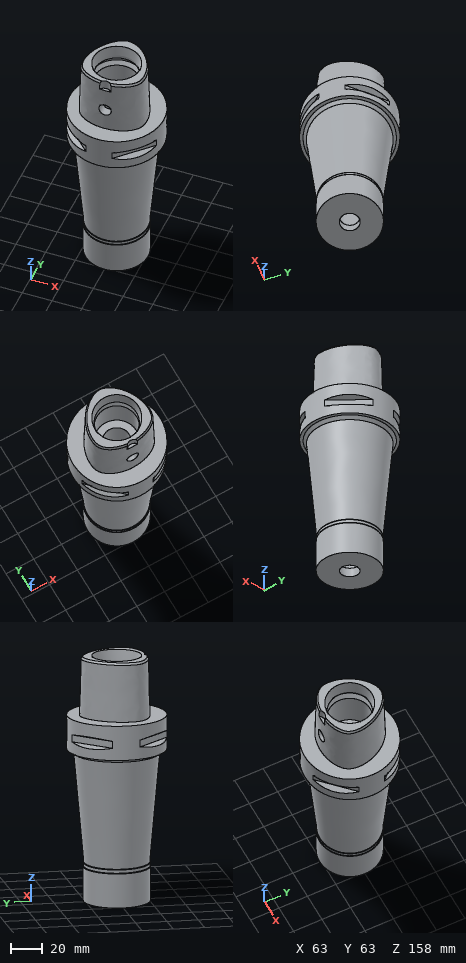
import cadquery as cq
import math

TOTAL_HEIGHT = 158.0
FLANGE_TOP = 120.1
FLANGE_BOTTOM = 98.0
NECK_TOP = 95.7
BODY_BOTTOM = 25.1
NUT_GAP = 0.5
NUT_TOP = BODY_BOTTOM - NUT_GAP

SHANK_BASE_RADIUS = 22.1
TAPER_PER_RADIUS = 1 / 40
LOBE_ECCENTRICITY = 1.5
LOBE_CURVE_POINTS = 48
TOP_CHAMFER_HEIGHT = 1.5
TOP_CHAMFER_WIDTH = 1.0

FLANGE_DIAMETER = 63.0
FLANGE_RADIUS = FLANGE_DIAMETER / 2
RELIEF_RADIUS = 29.2
NECK_TOP_RADIUS = 27.2
NECK_BOTTOM_RADIUS = 20.9

NOTCH_COUNT = 4
NOTCH_FLOOR_OFFSET = 27.6
NOTCH_MIDDLE = 108.0
NOTCH_FLOOR_HEIGHT = 4.5
NOTCH_MOUTH_HEIGHT = 7.6

MOUTH_RADIUS = 15.6
BORE_RADIUS = 14.2
GROOVE_RADIUS = 16.6
LIP_TOP = 151.2
LIP_BOTTOM = 149.3
GROOVE_BOTTOM = 145.5
GROOVE_CONE_BOTTOM = GROOVE_BOTTOM - (GROOVE_RADIUS - BORE_RADIUS)
BORE_FLOOR = FLANGE_TOP
UPPER_PASSAGE_RADIUS = 9.0
LOWER_PASSAGE_RADIUS = 7.6
PASSAGE_STEP = FLANGE_BOTTOM

SLOT_RADIUS = 4.7
SLOT_CENTRE_Y = -22.5
SLOT_BOTTOM = 151.7
CROSS_HOLE_DIAMETER = 8.2
CROSS_HOLE_HEIGHT = 135.5

NUT_RADIUS = 21.2
NUT_RIM_RADIUS = 21.0
NUT_RIM_HEIGHT = 2.0
NUT_STEP_HEIGHT = 0.5
NUT_HOLE_RADIUS = 6.5
SPIGOT_RADIUS = 15.8
SPIGOT_BOTTOM = 6.3


def revolve_profile(points):
    """Turn a closed (radius, height) outline around the Z axis."""
    return cq.Workplane("XZ").polyline(points).close().revolve(360, (0, 0, 0), (0, 1, 0))


def cylinder(radius, bottom, top):
    return cq.Workplane("XY").workplane(offset=bottom).circle(radius).extrude(top - bottom)


def lobed_wire(mean_radius, height):
    """Three-lobed outline with one lobe pointing to +Y."""
    def point(turn):
        angle = 2 * math.pi * turn
        along = (mean_radius * math.cos(angle)
                 - 2 * LOBE_ECCENTRICITY * math.cos(2 * angle)
                 + LOBE_ECCENTRICITY * math.cos(4 * angle))
        across = (mean_radius * math.sin(angle)
                  + 2 * LOBE_ECCENTRICITY * math.sin(2 * angle)
                  + LOBE_ECCENTRICITY * math.sin(4 * angle))
        return cq.Vector(across, -along, height)

    points = [point(index / LOBE_CURVE_POINTS) for index in range(LOBE_CURVE_POINTS)]
    curve = cq.Edge.makeSpline(points, periodic=True)
    return cq.Wire.assembleEdges([curve])


def make_shank():
    chamfer_start = TOTAL_HEIGHT - TOP_CHAMFER_HEIGHT
    taper_end_radius = SHANK_BASE_RADIUS - (chamfer_start - FLANGE_TOP) * TAPER_PER_RADIUS
    base = lobed_wire(SHANK_BASE_RADIUS, FLANGE_TOP)
    taper_end = lobed_wire(taper_end_radius, chamfer_start)
    tip = lobed_wire(taper_end_radius - TOP_CHAMFER_WIDTH, TOTAL_HEIGHT)
    taper = cq.Solid.makeLoft([base, taper_end], True)
    chamfer = cq.Solid.makeLoft([taper_end, tip], True)
    return cq.Workplane("XY").add(taper).union(cq.Workplane("XY").add(chamfer))


def make_flange_and_neck():
    return revolve_profile([
        (0, SPIGOT_BOTTOM),
        (SPIGOT_RADIUS, SPIGOT_BOTTOM),
        (SPIGOT_RADIUS, BODY_BOTTOM),
        (NECK_BOTTOM_RADIUS, BODY_BOTTOM),
        (NECK_TOP_RADIUS, NECK_TOP),
        (RELIEF_RADIUS, FLANGE_BOTTOM),
        (FLANGE_RADIUS, FLANGE_BOTTOM),
        (FLANGE_RADIUS, FLANGE_TOP),
        (0, FLANGE_TOP),
    ])


def make_bore():
    """Stepped passage with a segment groove below the tapered mouth."""
    return revolve_profile([
        (0, SPIGOT_BOTTOM),
        (LOWER_PASSAGE_RADIUS, SPIGOT_BOTTOM),
        (LOWER_PASSAGE_RADIUS, PASSAGE_STEP),
        (UPPER_PASSAGE_RADIUS, PASSAGE_STEP),
        (UPPER_PASSAGE_RADIUS, BORE_FLOOR),
        (BORE_RADIUS, BORE_FLOOR),
        (BORE_RADIUS, GROOVE_CONE_BOTTOM),
        (GROOVE_RADIUS, GROOVE_BOTTOM),
        (GROOVE_RADIUS, LIP_BOTTOM),
        (BORE_RADIUS, LIP_BOTTOM),
        (BORE_RADIUS, LIP_TOP),
        (MOUTH_RADIUS, TOTAL_HEIGHT),
        (0, TOTAL_HEIGHT),
    ])


def make_notch(angle):
    """Flat-floored groove with flared sides, cut tangentially across the flange."""
    half_floor = NOTCH_FLOOR_HEIGHT / 2
    half_mouth = NOTCH_MOUTH_HEIGHT / 2
    return (
        cq.Workplane("XZ")
        .polyline([
            (NOTCH_FLOOR_OFFSET, NOTCH_MIDDLE - half_floor),
            (FLANGE_RADIUS, NOTCH_MIDDLE - half_mouth),
            (FLANGE_RADIUS, NOTCH_MIDDLE + half_mouth),
            (NOTCH_FLOOR_OFFSET, NOTCH_MIDDLE + half_floor),
        ])
        .close()
        .extrude(FLANGE_RADIUS, both=True)
        .rotate((0, 0, 0), (0, 0, 1), angle)
    )


def make_key_slot():
    return cylinder(SLOT_RADIUS, SLOT_BOTTOM, TOTAL_HEIGHT).translate((0, SLOT_CENTRE_Y, 0))


def make_cross_hole():
    """Radial hole from the -Y flat into the bore."""
    return (
        cq.Workplane("XZ")
        .center(0, CROSS_HOLE_HEIGHT)
        .circle(CROSS_HOLE_DIAMETER / 2)
        .extrude(FLANGE_RADIUS)
    )


def make_holder():
    holder = make_flange_and_neck().union(make_shank())
    holder = holder.cut(make_bore()).cut(make_key_slot()).cut(make_cross_hole())
    pitch = 360 / NOTCH_COUNT
    for index in range(NOTCH_COUNT):
        holder = holder.cut(make_notch((index + 0.5) * pitch))
    return holder


def make_nut():
    """Cup-shaped nut that encloses the spigot."""
    return revolve_profile([
        (NUT_HOLE_RADIUS, 0),
        (NUT_RADIUS, 0),
        (NUT_RADIUS, NUT_TOP - NUT_RIM_HEIGHT - NUT_STEP_HEIGHT),
        (NUT_RIM_RADIUS, NUT_TOP - NUT_RIM_HEIGHT),
        (NUT_RIM_RADIUS, NUT_TOP),
        (SPIGOT_RADIUS, NUT_TOP),
        (SPIGOT_RADIUS, SPIGOT_BOTTOM),
        (NUT_HOLE_RADIUS, SPIGOT_BOTTOM),
    ])


holder = make_holder()
nut = make_nut()
result = cq.Compound.makeCompound([*holder.solids().vals(), nut.val()])